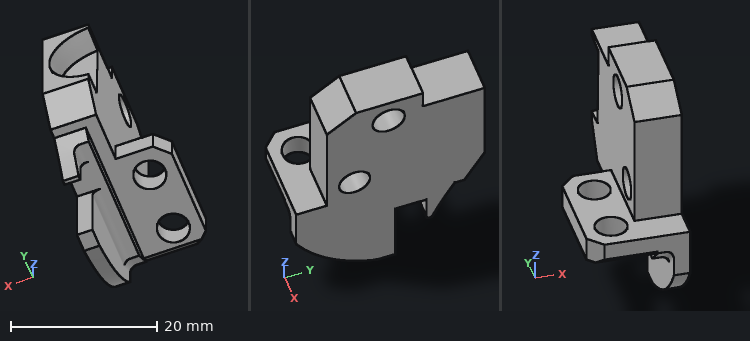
import cadquery as cq
import math

WIDTH = 14.15
LENGTH = 27.5
HEIGHT = 35.5
MARGIN = 3.55

PLATE_THICKNESS = 6.7
PLATE_LEFT = WIDTH - PLATE_THICKNESS
PLATE_FRONT = 4.47
PLATE_BOTTOM = 12.5
SHOULDER_Y = 18.5
SHOULDER_Z = 32.5
TOP_BEVEL_LENGTH = 4.25
REAR_BEVEL_Z = 17.5
REAR_BEVEL_LENGTH = 2.98
CROSS_HOLES = [(13.5, 31.52, 4.7), (8.52, 19.52, 4.5)]

POCKET_X = PLATE_LEFT - 0.7
POCKET_Z = 25.15
POCKET_RADIUS = 6.43
POCKET_DEPTH = 3.4
POCKET_TAPER = math.radians(5.2)
POCKET_TILT = math.radians(1.7)

FOOT_LENGTH = 17.05
FOOT_TOP = 16.0
FOOT_CORNER = 2.02
FOOT_BEVEL = 1.03
FOOT_HOLE_DIAMETER = 4.5
FOOT_HOLE_X = 4.0
FOOT_HOLE_PITCH = 8.98

RAIL_LEFT = 9.5
RAIL_BOTTOM = 10.55
RAIL_BEVEL = 2.7
RAIL_REAR = 23.1
RAIL_REAR_BOTTOM = 21.97
WEB_THICKNESS = 2.3
WEB_LEFT = WIDTH - WEB_THICKNESS
WEB_FILLET = 1.05
WEB_FRONT_BOTTOM = 9.15
WEB_ARC_MIDDLE = (6.1, 2.63)
WEB_ARC_END = 11.75
SLOT_FRONT = 14.45
SLOT_REAR = 19.03
PRONG_BOTTOM = 6.15
PRONG_TIP_WIDTH = 0.75
PRONG_TIP_RADIUS = 0.3


def side_profile(x):
    """Sketch plane at the given X, with Y and Z as its local axes."""
    return cq.Workplane("YZ", origin=(x, 0, 0))


def make_plate():
    plate = (
        side_profile(PLATE_LEFT)
        .moveTo(PLATE_FRONT, PLATE_BOTTOM)
        .lineTo(PLATE_FRONT, SHOULDER_Z)
        .lineTo(PLATE_FRONT + TOP_BEVEL_LENGTH, HEIGHT)
        .lineTo(SHOULDER_Y, HEIGHT)
        .lineTo(SHOULDER_Y, SHOULDER_Z)
        .lineTo(LENGTH, SHOULDER_Z)
        .lineTo(LENGTH, REAR_BEVEL_Z)
        .lineTo(LENGTH - REAR_BEVEL_LENGTH, PLATE_BOTTOM)
        .close()
        .extrude(PLATE_THICKNESS)
    )
    for y, z, diameter in CROSS_HOLES:
        plate = plate.cut(side_profile(PLATE_LEFT).center(y, z).circle(diameter / 2).extrude(PLATE_THICKNESS))
    return plate.cut(make_pocket_cutter())


def make_pocket_cutter():
    """Cone narrowing forwards, its axis tilted slightly downwards; it starts behind the plate."""
    axis = cq.Vector(0, -math.cos(POCKET_TILT), -math.sin(POCKET_TILT))
    mouth = cq.Vector(POCKET_X, LENGTH, POCKET_Z)
    slope = math.tan(POCKET_TAPER)
    return cq.Workplane(
        cq.Solid.makeCone(
            POCKET_RADIUS + MARGIN * slope,
            POCKET_RADIUS - POCKET_DEPTH * slope,
            MARGIN + POCKET_DEPTH,
            mouth - axis * MARGIN,
            axis,
        )
    )


def make_foot():
    foot = (
        cq.Workplane("XY")
        .box(WIDTH, FOOT_LENGTH, FOOT_TOP - PLATE_BOTTOM, centered=False)
        .translate((0, 0, PLATE_BOTTOM))
        .edges("|Z and <X")
        .chamfer(FOOT_CORNER)
    )
    front_bevel = (
        side_profile(0)
        .moveTo(0, PLATE_BOTTOM)
        .lineTo(FOOT_BEVEL, PLATE_BOTTOM)
        .lineTo(0, PLATE_BOTTOM + FOOT_BEVEL)
        .close()
        .extrude(RAIL_LEFT)
    )
    first_hole_y = (FOOT_LENGTH - FOOT_HOLE_PITCH) / 2
    holes = (
        cq.Workplane("XY", origin=(0, 0, PLATE_BOTTOM))
        .pushPoints([(FOOT_HOLE_X, first_hole_y), (FOOT_HOLE_X, first_hole_y + FOOT_HOLE_PITCH)])
        .circle(FOOT_HOLE_DIAMETER / 2)
        .extrude(FOOT_TOP - PLATE_BOTTOM)
    )
    return foot.cut(front_bevel).cut(holes)


def make_underside_cutter():
    """Space left of the web and under the rail, with edges rounded where it meets both."""
    return (
        side_profile(RAIL_LEFT)
        .moveTo(-MARGIN, -MARGIN)
        .lineTo(LENGTH + MARGIN, -MARGIN)
        .lineTo(LENGTH + MARGIN, RAIL_BOTTOM)
        .lineTo(RAIL_BEVEL, RAIL_BOTTOM)
        .lineTo(-MARGIN, RAIL_BOTTOM + RAIL_BEVEL + MARGIN)
        .close()
        .extrude(WEB_LEFT - RAIL_LEFT)
        .faces(">X")
        .edges(">Z or >>Z[-2]")
        .fillet(WEB_FILLET)
    )


def make_rail_and_web():
    outline = (
        side_profile(RAIL_LEFT)
        .moveTo(0, PLATE_BOTTOM + RAIL_BEVEL)
        .lineTo(0, WEB_FRONT_BOTTOM)
        .threePointArc(WEB_ARC_MIDDLE, (WEB_ARC_END, 0))
        .lineTo(SLOT_FRONT, 0)
        .lineTo(SLOT_FRONT, RAIL_BOTTOM)
        .lineTo(SLOT_REAR, RAIL_BOTTOM)
        .lineTo(SLOT_REAR, PRONG_BOTTOM)
        .lineTo(SLOT_REAR + PRONG_TIP_WIDTH, PRONG_BOTTOM)
        .threePointArc((RAIL_REAR_BOTTOM, RAIL_BOTTOM), (RAIL_REAR, PLATE_BOTTOM))
        .lineTo(FOOT_LENGTH, PLATE_BOTTOM)
        .lineTo(FOOT_LENGTH, PLATE_BOTTOM + RAIL_BEVEL)
        .close()
        .extrude(WIDTH - RAIL_LEFT)
    )
    tip_corner = cq.selectors.NearestToPointSelector(((RAIL_LEFT + WIDTH) / 2, SLOT_REAR, PRONG_BOTTOM))
    return outline.edges(tip_corner).fillet(PRONG_TIP_RADIUS)


result = make_plate().union(make_foot()).union(make_rail_and_web()).cut(make_underside_cutter()).clean()